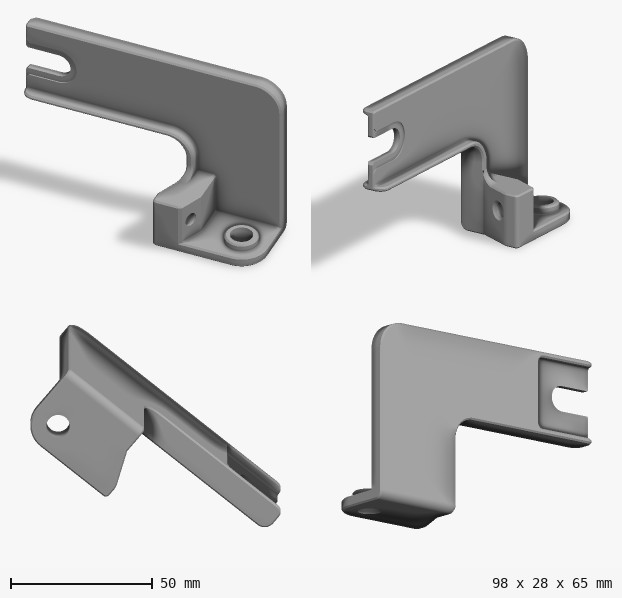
import cadquery as cq
import math

LENGTH = 98.0
DEPTH = 28.0
HEIGHT = 65.0
TOL = 0.05
SMOOTH_JOIN = 0.99
EDGE = 0.6

PLATE_THICK = 6.0
ARM_BOTTOM = 35.1
LEG_LEFT = 63.4
CORNER_R = 9.8
FLANGE_THICK = 1.8
FLANGE_LEG_THICK = 2.5
FLANGE_DEPTH = 10.0
FLANGE_BEND_R = 7.8
FLANGE_INNER_R = 9.8
FLANGE_END_R = 3.9
BACK_CORNER_R = 2.9

SLOT_X = 12.5
SLOT_Z = 50.2
SLOT_R = 4.6
SLOT_MOUTH = 0.9
SEAT_R = 7.2
SEAT_DEPTH = 0.5
SEAT_MOUTH = 1.6

POCKET_WALL = 2.0
POCKET_DEPTH = 3.0
POCKET_LENGTH = 25.5
POCKET_OVERRUN = 4.9
POCKET_CORNER_R = 2.2

BLOCK_HEIGHT = 20.0
BLOCK_LEFT = 58.0
BLOCK_RIGHT = 72.9
BLOCK_BEND_Y = -18.6
SLANT = math.radians(23)
BLOCK_FRONT_CHAMFER = 0.9
BLOCK_CORNER_R = 1.5
BLOCK_BEND_R = 4.9
BLEND_R = 4.9

BASE_THICK = 4.0
BOSS_X = LENGTH - CORNER_R
BOSS_Y = CORNER_R - DEPTH
BOSS_R = 6.1
BOSS_TOP = 7.0
BOSS_FILLET = 0.4
BORE_R = 4.1

CROSS_Y = -18.6
CROSS_Z = 12.2
CROSS_R = 2.5
SINK_R = 3.6


INNER_FACE_Y = -PLATE_THICK / 2
SIN_45 = math.sqrt(0.5)
SLANT_RUN = LEG_LEFT - BLOCK_LEFT
BLOCK_CORNER_Y = -FLANGE_DEPTH - SLANT_RUN / math.tan(SLANT)
BLOCK_FRONT_RIGHT = BLOCK_RIGHT - (DEPTH + BLOCK_BEND_Y) * math.tan(SLANT)
BASE_RIGHT_POINTS = [(LENGTH, INNER_FACE_Y), (LENGTH, -DEPTH)]
LEG_INNER_X = LEG_LEFT + FLANGE_LEG_THICK
FLANGE_TOP = ARM_BOTTOM + FLANGE_THICK
BEND_X = LEG_LEFT - FLANGE_BEND_R
BEND_Z = ARM_BOTTOM - FLANGE_BEND_R


def corner_point(x, z, radius):
    """Middle of the round that replaces an upper right corner at x, z."""
    inset = radius * (1 - SIN_45)
    return (x - inset, z - inset)


def sharp_edges(solid):
    """Edges where two faces meet at an angle, leaving out smooth joins."""

    def is_sharp(edge):
        middle = edge.positionAt(0.5)
        normals = [
            face.normalAt(middle)
            for face in solid.faces().vals()
            if any(edge.isSame(other) for other in face.Edges())
        ]
        return normals[0].dot(normals[1]) < SMOOTH_JOIN

    return solid.edges().filter(is_sharp)


def pocket_cut():
    """Shallow channel in the back of the arm, with rounded inner corners."""
    bottom = ARM_BOTTOM + POCKET_WALL
    height = HEIGHT - POCKET_WALL - bottom
    channel = cq.Workplane("XY").box(
        POCKET_LENGTH + POCKET_OVERRUN, POCKET_DEPTH, height, centered=False
    )
    channel = channel.translate((-POCKET_OVERRUN, -POCKET_DEPTH, bottom))
    channel = channel.edges("|Y and >X").fillet(POCKET_CORNER_R)
    return channel.faces("<Y").edges("not <X").fillet(EDGE)


def upright_plate():
    """L-shaped plate with a rounded top corner and rounded back corners."""
    plate = (
        cq.Workplane("XZ")
        .moveTo(0, ARM_BOTTOM)
        .lineTo(BEND_X, ARM_BOTTOM)
        .threePointArc(corner_point(LEG_LEFT, ARM_BOTTOM, FLANGE_BEND_R), (LEG_LEFT, BEND_Z))
        .lineTo(LEG_LEFT, 0)
        .lineTo(LENGTH, 0)
        .lineTo(LENGTH, HEIGHT - CORNER_R)
        .threePointArc(corner_point(LENGTH, HEIGHT, CORNER_R), (LENGTH - CORNER_R, HEIGHT))
        .lineTo(0, HEIGHT)
        .close()
        .extrude(PLATE_THICK)
    )
    plate = plate.edges("<X and >Y").fillet(BACK_CORNER_R)
    plate = plate.edges(">Y and <Z").fillet(BACK_CORNER_R)
    plate = plate.cut(pocket_cut())
    return sharp_edges(plate).chamfer(EDGE)


def flange():
    """Strip under the arm that bends down to the block and grows thicker on the way."""
    strip = (
        cq.Workplane("XZ", origin=(0, INNER_FACE_Y, 0))
        .moveTo(0, ARM_BOTTOM)
        .lineTo(BEND_X, ARM_BOTTOM)
        .threePointArc(corner_point(LEG_LEFT, ARM_BOTTOM, FLANGE_BEND_R), (LEG_LEFT, BEND_Z))
        .lineTo(LEG_LEFT, BASE_THICK)
        .lineTo(LEG_INNER_X, BASE_THICK)
        .lineTo(LEG_INNER_X, FLANGE_TOP - FLANGE_INNER_R)
        .threePointArc(
            corner_point(LEG_INNER_X, FLANGE_TOP, FLANGE_INNER_R),
            (LEG_INNER_X - FLANGE_INNER_R, FLANGE_TOP),
        )
        .lineTo(0, FLANGE_TOP)
        .close()
        .extrude(FLANGE_DEPTH + INNER_FACE_Y)
    )
    strip = strip.edges("<X and <Y").fillet(FLANGE_END_R)
    return sharp_edges(strip).edges("not(>Y or <Z)").chamfer(EDGE)


def foot_prism(right_points, height):
    """Upright prism with the slanted left side shared by block and base."""
    left_points = [
        (BLOCK_LEFT, -DEPTH),
        (BLOCK_LEFT, BLOCK_CORNER_Y),
        (LEG_LEFT, -FLANGE_DEPTH),
        (LEG_LEFT, INNER_FACE_Y),
    ]
    prism = cq.Workplane("XY").polyline(left_points + right_points).close().extrude(height)
    prism = prism.edges("|Z and <X and <Y").fillet(BLOCK_CORNER_R)
    return prism.edges("|Z").edges("<X").edges(">Y").fillet(BLOCK_BEND_R)


def chamfer_rim(solid, face):
    """Chamfer around a level face, except along its hidden inner end."""
    return solid.faces(face).edges().edges("not >Y").chamfer(EDGE)


def block():
    """Upright block with two slanted sides."""
    right_points = [
        (BLOCK_RIGHT, INNER_FACE_Y),
        (BLOCK_RIGHT, BLOCK_BEND_Y),
        (BLOCK_FRONT_RIGHT, -DEPTH),
    ]
    body = foot_prism(right_points, BLOCK_HEIGHT)
    body = body.edges("|Z").edges("<Y").edges(">X").chamfer(BLOCK_FRONT_CHAMFER)
    return chamfer_rim(chamfer_rim(body, ">Z"), "<Z")


def base():
    """Low slab that carries the boss."""
    slab = foot_prism(BASE_RIGHT_POINTS, BASE_THICK)
    slab = slab.edges("|Z and >X and <Y").fillet(CORNER_R)
    return chamfer_rim(chamfer_rim(slab, ">Z"), "<Z")


def blend():
    """Concave sweep that carries the flange front down to the block top."""
    blend_top = BLOCK_HEIGHT + BLEND_R
    blend_front = -FLANGE_DEPTH - BLEND_R
    web = (
        cq.Workplane("YZ", origin=(BLOCK_LEFT, 0, 0))
        .moveTo(-FLANGE_DEPTH, blend_top)
        .threePointArc(
            (blend_front + BLEND_R * SIN_45, blend_top - BLEND_R * SIN_45),
            (blend_front, BLOCK_HEIGHT),
        )
        .lineTo(blend_front, BASE_THICK)
        .lineTo(-PLATE_THICK, BASE_THICK)
        .lineTo(-PLATE_THICK, blend_top)
        .close()
        .extrude(LEG_INNER_X - BLOCK_LEFT)
    )
    web = web.intersect(foot_prism(BASE_RIGHT_POINTS, HEIGHT))
    return web.edges("%CIRCLE or %ELLIPSE").chamfer(EDGE)


def slot_cut(radius, mouth, depth):
    """Round-ended slot open at x = 0, with a bevelled mouth, cut from the front."""
    return (
        cq.Workplane("XZ", origin=(0, depth - PLATE_THICK, 0))
        .moveTo(0, SLOT_Z - radius - mouth)
        .lineTo(mouth, SLOT_Z - radius)
        .lineTo(SLOT_X, SLOT_Z - radius)
        .threePointArc((SLOT_X + radius, SLOT_Z), (SLOT_X, SLOT_Z + radius))
        .lineTo(mouth, SLOT_Z + radius)
        .lineTo(0, SLOT_Z + radius + mouth)
        .close()
        .extrude(depth)
    )


def add_boss(body):
    """Raised ring on the base, chamfered on top and filleted at its foot."""
    start = BASE_THICK / 2
    post = cq.Workplane("XY", origin=(BOSS_X, BOSS_Y, start)).circle(BOSS_R).extrude(BOSS_TOP - start)
    post = post.faces(">Z").chamfer(EDGE)
    reach = BOSS_R + TOL
    boss_foot = cq.selectors.BoxSelector(
        (BOSS_X - reach, BOSS_Y - reach, BASE_THICK - TOL),
        (BOSS_X + reach, BOSS_Y + reach, BASE_THICK + TOL),
        boundingbox=True,
    )
    return body.union(post).edges(boss_foot).fillet(BOSS_FILLET)


def bore():
    """Hole straight down through the boss and the base."""
    return cq.Workplane("XY", origin=(BOSS_X, BOSS_Y, 0)).circle(BORE_R).extrude(BOSS_TOP)


def cross_hole():
    """Hole through the block, countersunk on the slanted left side."""
    entry_x = LEG_LEFT - (-FLANGE_DEPTH - CROSS_Y) * math.tan(SLANT)
    axis = cq.Vector(math.cos(SLANT), -math.sin(SLANT), 0)
    entry = cq.Vector(entry_x, CROSS_Y, CROSS_Z)
    drill = cq.Solid.makeCylinder(CROSS_R, BLOCK_RIGHT - BLOCK_LEFT, entry, axis)
    sink = cq.Solid.makeCone(SINK_R, CROSS_R, SINK_R - CROSS_R, entry, axis)
    return cq.Workplane(obj=drill.fuse(sink))


def fillet_inside_corners(body):
    """Round where the flange, block and base meet the plate and each other."""
    plate_front = cq.selectors.BoxSelector(
        (EDGE + TOL, -PLATE_THICK - TOL, 0),
        (LENGTH - EDGE - TOL, -PLATE_THICK + TOL, FLANGE_TOP + TOL),
    )
    block_foot = cq.selectors.BoxSelector(
        (BLOCK_FRONT_RIGHT, BLOCK_FRONT_CHAMFER - DEPTH, BASE_THICK - TOL),
        (BLOCK_RIGHT + TOL, -PLATE_THICK, BASE_THICK + TOL),
    )
    return body.edges(plate_front + block_foot).fillet(EDGE)


foot = block().union(blend()).union(base())
body = foot.union(flange()).union(upright_plate())
body = fillet_inside_corners(body)
body = add_boss(body)
body = body.cut(slot_cut(SLOT_R, SLOT_MOUTH, PLATE_THICK))
body = body.cut(slot_cut(SEAT_R, SEAT_MOUTH, SEAT_DEPTH))
result = body.cut(bore()).cut(cross_hole())